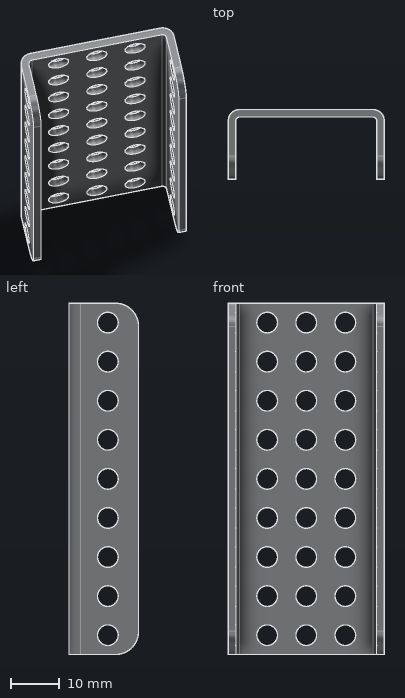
import cadquery as cq

length = 72.0
hole_rows = 9
web_columns = 3
hole_diameter = 4.2
flange_depth = 14.3
thickness = 1.6
inner_bend_radius = 0.8
corner_radius = 4.8

pitch = length / hole_rows
width = (web_columns + 1) * pitch
outer_bend_radius = inner_bend_radius + thickness
back_y = flange_depth / 2
flange_hole_y = back_y - pitch


def bent_channel():
    """U-section along Z, with the web at +Y and the flanges reaching toward -Y."""
    outside = (
        cq.Workplane("XY")
        .box(width, flange_depth, length)
        .edges("|Z and >Y")
        .fillet(outer_bend_radius)
    )
    inside = (
        cq.Workplane("XY")
        .box(width - 2 * thickness, flange_depth, length)
        .edges("|Z and >Y")
        .fillet(inner_bend_radius)
        .translate((0, -thickness, 0))
    )
    return outside.cut(inside)


def web_holes():
    """Grid of cylinders that pass through the web along Y."""
    return (
        cq.Workplane("XZ", origin=(0, back_y, 0))
        .rarray(pitch, pitch, web_columns, hole_rows)
        .circle(hole_diameter / 2)
        .extrude(thickness)
    )


def flange_holes():
    """Row of cylinders that pass through both flanges along X."""
    return (
        cq.Workplane("YZ", origin=(0, flange_hole_y, 0))
        .rarray(pitch, pitch, 1, hole_rows)
        .circle(hole_diameter / 2)
        .extrude(width / 2, both=True)
    )


channel = bent_channel().faces("<Y").edges("|X").fillet(corner_radius)
result = channel.cut(web_holes()).cut(flange_holes())